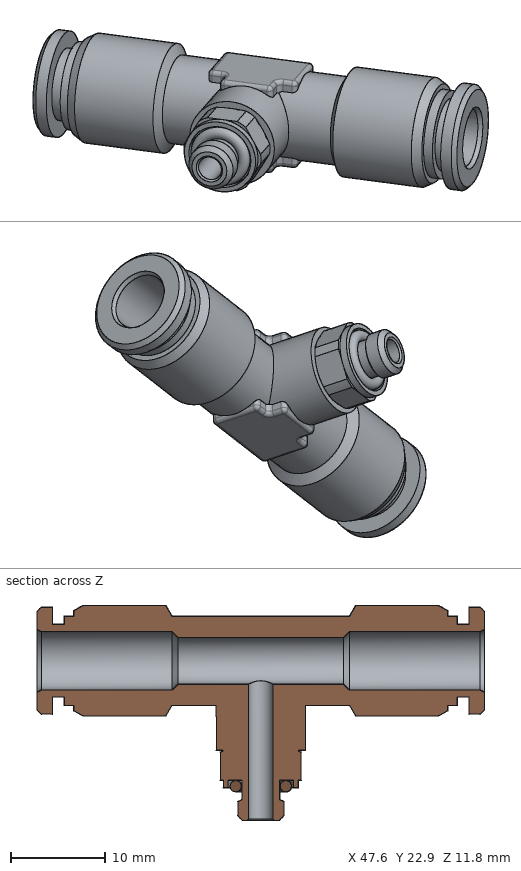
import cadquery as cq
import math


run_length = 47.6
run_radius = 4.75
socket_radius = 5.9
socket_inner_x = 9.42
socket_inner_chamfer = 0.65
socket_outer_x = 19.9
socket_outer_chamfer = 1.0
socket_outer_end_radius = 5.35
lip_x = 20.9
collet_neck_radius = 3.9
collet_flange_radius = 5.7
collet_flange_length = 1.65
collet_flange_chamfer = 0.48

run_bore_radius = 2.48
tube_bore_radius = 3.1
tube_bore_end_x = socket_inner_x
mouth_chamfer = 0.25
mouth_chamfer_depth = 0.48
stud_bore_radius = 1.3
stud_bore_chamfer = 0.2

branch_radius = run_radius
branch_end = 9.5
hex_half_flats = 4.0
hex_corner_radius = 4.35
hex_end = 12.7
hex_chamfer_angle = math.radians(30)
flange_end = 13.5
thread_neck_radius = 2.05
thread_start = 14.95
thread_runout = 0.2
thread_radius = 2.48
thread_end = 17.0
thread_chamfer = 0.5

oring_tube_radius = 0.6
oring_ring_radius = thread_neck_radius + oring_tube_radius
recess_radius = 3.47
recess_floor = hex_end

pad_half_width = 5.0
pad_stem_half_width = 2.95
pad_top_z = 5.0
pad_back_y = 3.0
pad_shoulder_y = -2.9
pad_front_y = -5.05
pad_corner_radius = 0.5
pad_edge_radius = 0.48


def revolve_about_run(half_outline):
    """Revolve about X an outline given for +X and repeated mirrored for -X."""
    mirrored = [(-x, radius) for x, radius in reversed(half_outline)]
    return (
        cq.Workplane("XY")
        .polyline(mirrored + half_outline)
        .close()
        .revolve(360, (0, 0), (1, 0))
    )


def make_run():
    """Tube, two chamfered sockets and the collets that stand out of them."""
    half_length = run_length / 2
    flange_back_x = half_length - collet_flange_length
    return revolve_about_run([
        (socket_inner_x, run_radius),
        (socket_inner_x + socket_inner_chamfer, socket_radius),
        (socket_outer_x - socket_outer_chamfer, socket_radius),
        (socket_outer_x, socket_outer_end_radius),
        (socket_outer_x, run_radius),
        (lip_x, run_radius),
        (lip_x, collet_neck_radius),
        (flange_back_x, collet_neck_radius),
        (flange_back_x, collet_flange_radius),
        (half_length - collet_flange_chamfer, collet_flange_radius),
        (half_length, collet_flange_radius - collet_flange_chamfer),
        (half_length, 0),
    ])


def make_run_bore():
    """Bore along X with a wider tube socket at each end, joined by a 45 degree cone."""
    half_length = run_length / 2
    cone_length = tube_bore_radius - run_bore_radius
    return revolve_about_run([
        (tube_bore_end_x - cone_length, run_bore_radius),
        (tube_bore_end_x, tube_bore_radius),
        (half_length - mouth_chamfer_depth, tube_bore_radius),
        (half_length, tube_bore_radius + mouth_chamfer),
        (half_length, 0),
    ])


def make_branch():
    """Plain round branch of the tee."""
    return cq.Workplane("XZ").circle(branch_radius).extrude(branch_end)


def make_stud_hex():
    """Hexagon with rounded corners, and a cone over the corners at the branch end."""
    corner_diameter = 2 * hex_half_flats / math.cos(math.pi / 6)
    chamfer_length = (hex_corner_radius - hex_half_flats) * math.tan(hex_chamfer_angle)
    prism = (
        cq.Workplane("XZ", origin=(0, -branch_end, 0))
        .polygon(6, corner_diameter)
        .extrude(hex_end - branch_end)
    )
    envelope = (
        cq.Workplane("XY")
        .polyline([
            (0, -branch_end),
            (hex_half_flats, -branch_end),
            (hex_corner_radius, -branch_end - chamfer_length),
            (hex_corner_radius, -hex_end),
            (0, -hex_end),
        ])
        .close()
        .revolve(360, (0, 0), (0, 1))
    )
    return prism.intersect(envelope)


def make_stud_end():
    """Round flange, then a neck that widens through a cone into the plain thread cylinder."""
    return (
        cq.Workplane("XY")
        .polyline([
            (0, -hex_end),
            (hex_half_flats, -hex_end),
            (hex_half_flats, -flange_end),
            (thread_neck_radius, -flange_end),
            (thread_neck_radius, -thread_start + thread_runout),
            (thread_radius, -thread_start),
            (thread_radius, -thread_end + thread_chamfer),
            (thread_radius - thread_chamfer, -thread_end),
            (0, -thread_end),
        ])
        .close()
        .revolve(360, (0, 0), (0, 1))
    )


def make_oring_recess():
    """Annular recess around the thread neck, open at the flange face."""
    return (
        cq.Workplane("XZ", origin=(0, -recess_floor, 0))
        .circle(recess_radius)
        .circle(thread_neck_radius)
        .extrude(flange_end - recess_floor)
    )


def make_stud_bore():
    """Bore from the thread tip into the run bore, chamfered at the tip."""
    mouth_radius = stud_bore_radius + stud_bore_chamfer
    return (
        cq.Workplane("XY")
        .polyline([
            (0, 0),
            (stud_bore_radius, 0),
            (stud_bore_radius, -thread_end + stud_bore_chamfer),
            (mouth_radius, -thread_end),
            (0, -thread_end),
        ])
        .close()
        .revolve(360, (0, 0), (0, 1))
    )


def make_label_pads():
    """T-shaped block through the junction whose rounded top and bottom form the pads."""
    return (
        cq.Workplane("XY", origin=(0, 0, -pad_top_z))
        .polyline([
            (-pad_half_width, pad_back_y),
            (pad_half_width, pad_back_y),
            (pad_half_width, pad_shoulder_y),
            (pad_stem_half_width, pad_shoulder_y),
            (pad_stem_half_width, pad_front_y),
            (-pad_stem_half_width, pad_front_y),
            (-pad_stem_half_width, pad_shoulder_y),
            (-pad_half_width, pad_shoulder_y),
        ])
        .close()
        .extrude(2 * pad_top_z)
        .edges("|Z")
        .fillet(pad_corner_radius)
        .faces("|Z")
        .edges()
        .fillet(pad_edge_radius)
    )


def make_fitting():
    """Tee, collets and threaded stud as one bored solid."""
    return (
        make_run()
        .union(make_branch())
        .union(make_label_pads())
        .union(make_stud_hex())
        .union(make_stud_end())
        .cut(make_oring_recess())
        .cut(make_run_bore())
        .cut(make_stud_bore())
    )


def make_oring():
    """Torus resting on the recess floor and touching the thread neck."""
    ring_center_y = -recess_floor - oring_tube_radius
    return (
        cq.Workplane("XY")
        .center(oring_ring_radius, ring_center_y)
        .circle(oring_tube_radius)
        .revolve(360, (-oring_ring_radius, 0), (-oring_ring_radius, 1))
    )


fitting = make_fitting()
oring = make_oring()

result = cq.Compound.makeCompound([fitting.solids().val(), oring.val()])